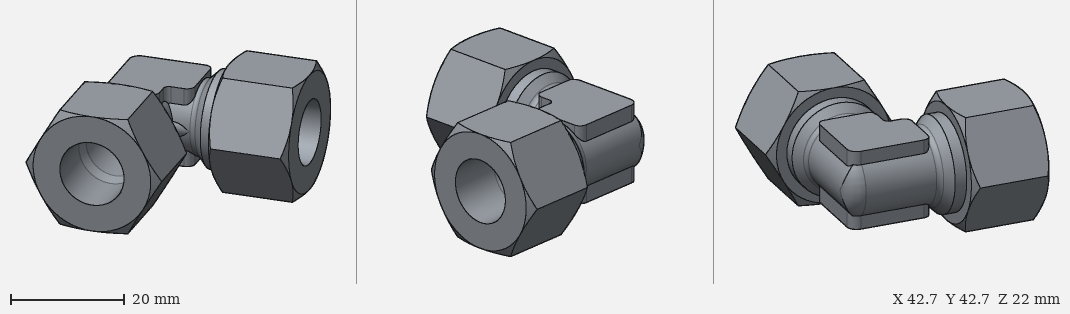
import cadquery as cq
import math


nut_end = 30.0
nut_length = 15.0
nut_start = nut_end - nut_length
nut_across_flats = 22.0
nut_flat_radius = nut_across_flats / 2
nut_corner_radius = nut_flat_radius / math.cos(math.radians(30))
nut_chamfer_angle = 30.0
nut_chamfer_depth = (nut_corner_radius - nut_flat_radius) * math.tan(math.radians(nut_chamfer_angle))

tube_radius = 7.0
tube_end = 10.1
collar_radius = 9.0
neck_fillet = 1.6
cone_angle = math.radians(45)

bore_radius = 5.5
drill_tip_angle = 120.0
drill_tip_length = bore_radius / math.tan(math.radians(drill_tip_angle / 2))
socket_radius = 6.0
socket_depth = 10.0
seat_half_angle = 12.0
seat_length = (socket_radius - bore_radius) / math.tan(math.radians(seat_half_angle))

corner_round = tube_radius / 2

pad_height = 15.0
pad_end = 10.0
pad_half_width_x = 5.0
pad_half_width_y = 5.5
pad_outer_round = 1.85
pad_end_round = 1.5
pad_inner_round = 1.0

web_radius = 1.5
web_inner_radius = pad_end - tube_radius
web_path_radius = web_inner_radius + web_radius


def on_both_arms(shape):
    """Return the shape built along +X joined with its copy turned to -Y."""
    return shape.union(shape.rotate((0, 0, 0), (0, 0, 1), -90))


def revolve_about_x(profile):
    return profile.close().revolve(360, (0, 0, 0), (1, 0, 0))


def make_arm():
    fillet_run = neck_fillet * math.sin(cone_angle)
    fillet_rise = neck_fillet * (1 - math.cos(cone_angle))
    cone_start = tube_end + fillet_run
    cone_radius = tube_radius + fillet_rise
    collar_start = cone_start + (collar_radius - cone_radius) / math.tan(cone_angle)
    fillet_mid = (
        tube_end + neck_fillet * math.sin(cone_angle / 2),
        tube_radius + neck_fillet * (1 - math.cos(cone_angle / 2)),
    )
    return revolve_about_x(
        cq.Workplane("XY")
        .lineTo(0, tube_radius)
        .lineTo(tube_end, tube_radius)
        .threePointArc(fillet_mid, (cone_start, cone_radius))
        .lineTo(collar_start, collar_radius)
        .lineTo(nut_start, collar_radius)
        .lineTo(nut_start, 0)
    )


def make_nut():
    hexagon = (
        cq.Workplane("YZ", origin=(nut_start, 0, 0))
        .polygon(6, 2 * nut_corner_radius)
        .extrude(nut_length)
    )
    chamfer_envelope = revolve_about_x(
        cq.Workplane("XY")
        .moveTo(nut_start, 0)
        .lineTo(nut_start, nut_flat_radius)
        .lineTo(nut_start + nut_chamfer_depth, nut_corner_radius)
        .lineTo(nut_end - nut_chamfer_depth, nut_corner_radius)
        .lineTo(nut_end, nut_flat_radius)
        .lineTo(nut_end, 0)
    )
    return hexagon.intersect(chamfer_envelope)


def make_corner():
    """Outer corner: a stub of the X tube, trimmed by the rounded end of a stub of the Y tube."""
    x_stub = cq.Workplane("YZ").circle(tube_radius).extrude(-tube_radius)
    y_stub = (
        cq.Workplane("XZ")
        .circle(tube_radius)
        .extrude(-tube_radius)
        .faces(">Y")
        .edges()
        .fillet(corner_round)
    )
    return x_stub.intersect(y_stub)


def make_pads():
    outline = (
        cq.Workplane("XY", origin=(0, 0, -pad_height / 2))
        .moveTo(-pad_half_width_x, pad_half_width_y)
        .lineTo(pad_end, pad_half_width_y)
        .lineTo(pad_end, -pad_half_width_y)
        .lineTo(pad_half_width_x, -pad_half_width_y)
        .lineTo(pad_half_width_x, -pad_end)
        .lineTo(-pad_half_width_x, -pad_end)
        .close()
    )
    pads = outline.extrude(pad_height)
    inner_corner = cq.selectors.NearestToPointSelector((pad_half_width_x, -pad_half_width_y, 0))
    outer_corner = cq.selectors.NearestToPointSelector((-pad_half_width_x, pad_half_width_y, 0))
    pads = pads.edges("|Z").edges(inner_corner).fillet(pad_inner_round)
    pads = pads.edges("|Z").edges(outer_corner).fillet(pad_outer_round)
    pads = pads.edges("|Z and >X").fillet(pad_end_round)
    return pads.edges("|Z and <Y").fillet(pad_end_round)


def make_web():
    """Quarter ring of round section, centred between the two arms."""
    axis_start = (-web_path_radius, 0, 0)
    axis_end = (-web_path_radius, 1, 0)
    quarter_ring = (
        cq.Workplane("XZ")
        .center(web_path_radius, 0)
        .circle(web_radius)
        .revolve(90, axis_start, axis_end)
    )
    return quarter_ring.rotate((0, 0, 0), (0, 0, 1), 90).translate((pad_end, -pad_end, 0))


def make_bore():
    socket_start = nut_end - socket_depth
    return revolve_about_x(
        cq.Workplane("XY")
        .moveTo(-drill_tip_length, 0)
        .lineTo(0, bore_radius)
        .lineTo(socket_start - seat_length, bore_radius)
        .lineTo(socket_start, socket_radius)
        .lineTo(nut_end, socket_radius)
        .lineTo(nut_end, 0)
    )


result = (
    on_both_arms(make_arm())
    .union(make_corner())
    .union(make_pads())
    .union(make_web())
    .union(on_both_arms(make_nut()))
    .cut(on_both_arms(make_bore()))
)